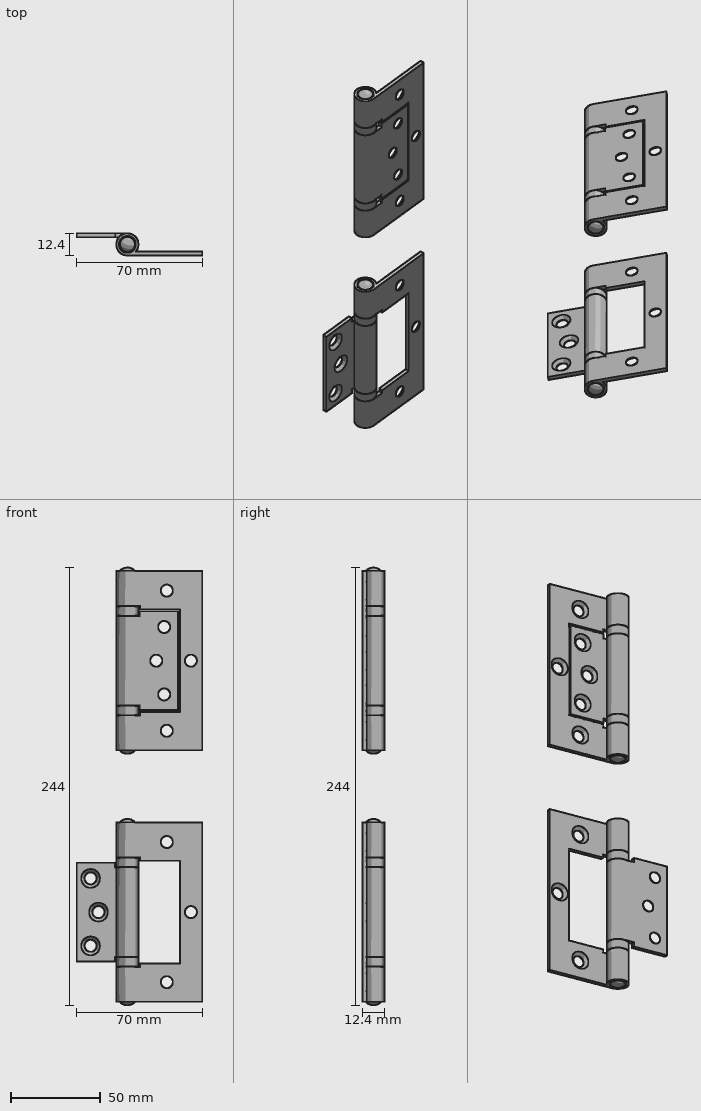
import cadquery as cq
import math

HINGE_PITCH = 140.0
CLOSED_ANGLE = 0
OPEN_ANGLE = 180

PIN_LENGTH = 104.0
PIN_DOME_HEIGHT = 2.0
PIN_RADIUS = 4.27
PIN_CLEARANCE = 0.37

SHEET_THICKNESS = 2.37
KNUCKLE_RADIUS = 6.22
BORE_RADIUS = PIN_RADIUS + PIN_CLEARANCE
SCREW_HOLE_DIAMETER = 6.5
COUNTERSINK_DIAMETER = 10.5
COUNTERSINK_ANGLE = 90

OUTER_HEIGHT = PIN_LENGTH - 2 * PIN_DOME_HEIGHT
OUTER_REACH = 41.7
WINDOW_REACH = 29.3
WINDOW_HEIGHT = 57.0
BARREL_GAP_HEIGHT = 61.0
BARREL_GAP_REACH = 7.0
OUTER_END_HOLE_X = 22.0
OUTER_END_HOLE_Z = 39.0
OUTER_MIDDLE_HOLE_X = 35.5

INNER_REACH = 28.3
INNER_HEIGHT = 55.1
INNER_KNUCKLE_HEIGHT = 49.8
INNER_SHOULDER_X = 6.8
INNER_END_HOLE_X = 20.5
INNER_END_HOLE_Z = 18.8
INNER_MIDDLE_HOLE_X = 16.0

BUSHING_CLEARANCE = 0.2
BUSHING_LENGTH = (BARREL_GAP_HEIGHT - INNER_KNUCKLE_HEIGHT) / 2 - 2 * BUSHING_CLEARANCE

SHEET_INNER_Y = SHEET_THICKNESS - KNUCKLE_RADIUS


def sheet(x_start, x_end, height):
    """Flat sheet tangent to the -Y side of the knuckles, centred on Z = 0."""
    return (
        cq.Workplane("XY")
        .box(x_end - x_start, SHEET_THICKNESS, height, centered=(False, False, True))
        .translate((x_start, -KNUCKLE_RADIUS, 0))
    )


def cylinder(radius, height):
    """Cylinder on the hinge axis, centred on Z = 0."""
    return cq.Workplane("XY").cylinder(height, radius)


def add_screw_holes(leaf, end_x, end_z, middle_x):
    """Three holes through the sheet, countersunk on its +Y face: one near each end and one midway."""
    face = cq.Plane(origin=(0, SHEET_INNER_Y, 0), xDir=(1, 0, 0), normal=(0, 1, 0))
    return (
        leaf.copyWorkplane(cq.Workplane(face))
        .pushPoints([(end_x, end_z), (middle_x, 0), (end_x, -end_z)])
        .cskHole(SCREW_HOLE_DIAMETER, COUNTERSINK_DIAMETER, COUNTERSINK_ANGLE, depth=SHEET_THICKNESS)
    )


def make_outer_leaf():
    """Framed leaf whose two end knuckles leave the middle of the pin free."""
    leaf = sheet(0, OUTER_REACH, OUTER_HEIGHT).union(cylinder(KNUCKLE_RADIUS, OUTER_HEIGHT))
    barrel_gap = cq.Workplane("XY").box(2 * BARREL_GAP_REACH, 2 * BARREL_GAP_REACH, BARREL_GAP_HEIGHT)
    window = sheet(0, WINDOW_REACH, WINDOW_HEIGHT)
    leaf = leaf.cut(cylinder(BORE_RADIUS, OUTER_HEIGHT)).cut(barrel_gap).cut(window)
    return add_screw_holes(leaf, OUTER_END_HOLE_X, OUTER_END_HOLE_Z, OUTER_MIDDLE_HOLE_X)


def make_inner_leaf():
    """Plate with a middle knuckle, in its closed position inside the outer leaf's window."""
    leaf = (
        cylinder(KNUCKLE_RADIUS, INNER_KNUCKLE_HEIGHT)
        .union(sheet(0, INNER_SHOULDER_X, INNER_KNUCKLE_HEIGHT))
        .union(sheet(INNER_SHOULDER_X, INNER_REACH, INNER_HEIGHT))
        .cut(cylinder(BORE_RADIUS, INNER_HEIGHT))
    )
    return add_screw_holes(leaf, INNER_END_HOLE_X, INNER_END_HOLE_Z, INNER_MIDDLE_HOLE_X)


def make_pin():
    """Round pin with a spherical dome at each end, standing out of the outer leaf's knuckles."""
    straight_end = OUTER_HEIGHT / 2
    tip = PIN_LENGTH / 2
    sphere_radius = (PIN_RADIUS**2 + PIN_DOME_HEIGHT**2) / (2 * PIN_DOME_HEIGHT)
    arc_x = PIN_RADIUS / 2
    arc_z = tip - sphere_radius + math.sqrt(sphere_radius**2 - arc_x**2)
    return (
        cq.Workplane("XZ")
        .moveTo(0, -tip)
        .threePointArc((arc_x, -arc_z), (PIN_RADIUS, -straight_end))
        .lineTo(PIN_RADIUS, straight_end)
        .threePointArc((arc_x, arc_z), (0, tip))
        .close()
        .revolve(360, (0, 0, 0), (0, 1, 0))
    )


def make_bushing():
    """Ring around the pin, centred on Z = 0."""
    return cylinder(KNUCKLE_RADIUS, BUSHING_LENGTH).cut(cylinder(BORE_RADIUS, BUSHING_LENGTH))


def make_hinge(inner_leaf_angle):
    """The five bodies of one hinge, with the inner leaf turned about the pin."""
    inner_leaf = make_inner_leaf().rotate((0, 0, 0), (0, 0, 1), inner_leaf_angle)
    bodies = [make_outer_leaf(), inner_leaf, make_pin()]
    bushing_z = (INNER_KNUCKLE_HEIGHT + BARREL_GAP_HEIGHT) / 4
    for z in (-bushing_z, bushing_z):
        bodies.append(make_bushing().translate((0, 0, z)))
    return bodies


solids = []
for base_z, angle in ((0, OPEN_ANGLE), (HINGE_PITCH, CLOSED_ANGLE)):
    for body in make_hinge(angle):
        solids.append(body.translate((0, 0, base_z)).val())

result = cq.Compound.makeCompound(solids)